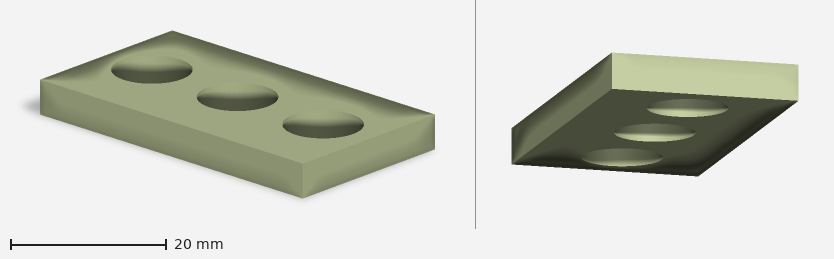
import cadquery as cq

length = 46.0
width = 25.0
thickness = 4.8

hole_diameter = 10.5
hole_pitch = 15.0
hole_count = 3

plate = cq.Workplane("XY").box(length, width, thickness)

result = (
    plate.faces(">Z")
    .workplane()
    .rarray(hole_pitch, 0.45, hole_count, 1)
    .hole(hole_diameter)
)